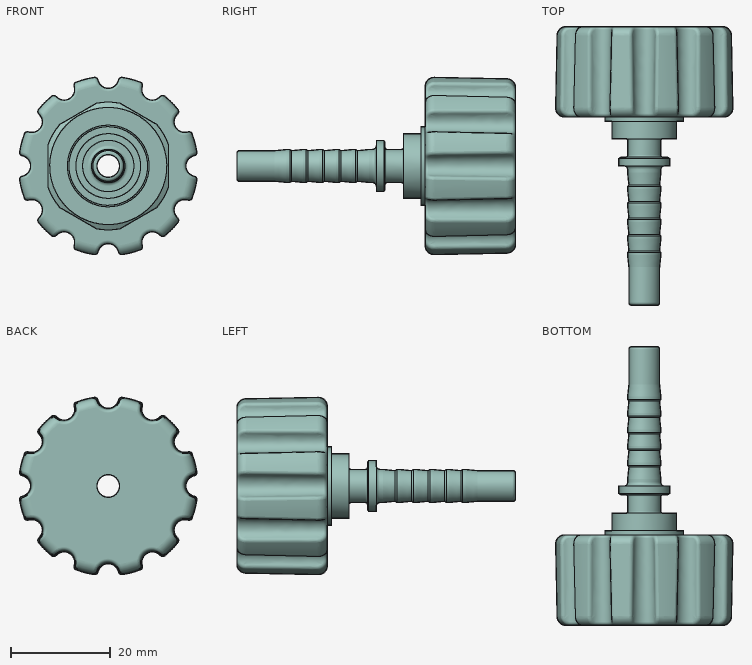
import cadquery as cq
import math


grip_radius = 18.05
grip_length = 18.2
grip_draft = 1.0
grip_rim_round = 1.9
flute_count = 12
flute_radius = 2.1
flute_bottom = 15.6
flute_edge_round = 0.7

hexagon_sides = 6
pocket_flats = 24.2
pocket_corner_diameter = 25.65
nut_recess = 0.4
nut_chamfer_diameter = 23.5
nut_chamfer_angle = 30
clearance_diameter = 16.4
clearance_depth = 0.9

flange_diameter = 15.8
flange_depth = 19.05
shoulder_diameter = 13.0
shoulder_depth = 22.55
neck_diameter = 6.7
neck_round = 0.3
collar_diameter = 10.3
collar_start = 26.2
collar_end = 28
collar_chamfer_depth = 0.3
collar_chamfer_width = 0.5
collar_head_round = 0.35
collar_tail_round = 0.7

barb_count = 6
barb_pitch = 3.3
barb_diameter = 6.7
barb_rise = 0.35
barb_land = 0.55
first_taper_start = 29.4
tip_diameter = 6.2
tip_depth = 56
tip_round = 0.6
bore_diameter = 4.5

nut_chamfer_width = (pocket_corner_diameter - nut_chamfer_diameter) / 2
nut_chamfer_drop = nut_chamfer_width * math.tan(math.radians(nut_chamfer_angle))
nut_face_depth = grip_length - nut_recess
clearance_floor_depth = nut_face_depth - clearance_depth

flute_middle = flute_bottom + flute_radius / 2


def axis_distance(face):
    """Distance of a face's centre from the Y axis."""
    center = face.Center()
    return math.hypot(center.x, center.z)


def cylinder(diameter, start, end):
    """Cylinder on the axis between two depths."""
    return cq.Workplane("XZ", origin=(0, -start, 0)).circle(diameter / 2).extrude(end - start)


def make_grip():
    """Slightly conical wheel with rounded rims and twelve round-edged flutes."""
    draft = math.tan(math.radians(grip_draft))
    rear_radius = grip_radius - draft * (grip_length - grip_rim_round)
    front_radius = grip_radius + draft * grip_rim_round
    wheel = (
        cq.Workplane("XY")
        .polyline([(0, 0), (rear_radius, 0), (front_radius, -grip_length), (0, -grip_length)])
        .close()
        .revolve(360, (0, 0), (0, 1))
        .edges("%CIRCLE")
        .fillet(grip_rim_round)
    )
    flute = (
        cq.Workplane("XZ", origin=(0, -grip_length, 0))
        .center(0, flute_bottom + flute_radius)
        .circle(flute_radius)
        .extrude(-grip_length, taper=-grip_draft)
    )
    for index in range(flute_count):
        wheel = wheel.cut(flute.rotate((0, 0, 0), (0, 1, 0), index * 360 / flute_count))
    flute_faces = wheel.faces("%CONE").filter(lambda face: axis_distance(face) < flute_middle)
    return flute_faces.edges().fillet(flute_edge_round)


def make_hexagon(flats, start, end):
    """Hexagonal prism with two flats facing +X and -X."""
    half_sector = 360 / hexagon_sides / 2
    corner_diameter = flats / math.cos(math.radians(half_sector))
    return (
        cq.Workplane("XZ", origin=(0, -start, 0))
        .transformed(rotate=(0, 0, half_sector))
        .polygon(hexagon_sides, corner_diameter)
        .extrude(end - start)
    )


def make_pocket():
    """Space above the nut: the hexagonal pocket with rounded corners, less the nut itself."""
    floor_depth = nut_face_depth - nut_chamfer_drop
    pocket = make_hexagon(pocket_flats, floor_depth, grip_length)
    pocket = pocket.intersect(cylinder(pocket_corner_diameter, floor_depth, grip_length))
    nut_crown = cq.Workplane(
        cq.Solid.makeCone(
            pocket_corner_diameter / 2,
            nut_chamfer_diameter / 2,
            nut_chamfer_drop,
            pnt=cq.Vector(0, -floor_depth, 0),
            dir=cq.Vector(0, -1, 0),
        )
    )
    return pocket.cut(nut_crown)


def make_stem():
    """Turned stem: flange, shoulder, necked collar, six barbs and a rounded plain tip."""
    flange_radius = flange_diameter / 2
    shoulder_radius = shoulder_diameter / 2
    neck_radius = neck_diameter / 2
    collar_radius = collar_diameter / 2
    barb_radius = barb_diameter / 2
    tip_radius = tip_diameter / 2

    profile = (
        cq.Workplane("XY")
        .moveTo(0, -clearance_floor_depth)
        .lineTo(flange_radius, -clearance_floor_depth)
        .lineTo(flange_radius, -flange_depth)
        .lineTo(shoulder_radius, -flange_depth)
        .lineTo(shoulder_radius, -shoulder_depth)
        .lineTo(neck_radius + neck_round, -shoulder_depth)
        .radiusArc((neck_radius, -shoulder_depth - neck_round), -neck_round)
        .lineTo(neck_radius, -collar_start + collar_head_round)
        .radiusArc((neck_radius + collar_head_round, -collar_start), -collar_head_round)
        .lineTo(collar_radius - collar_chamfer_width, -collar_start)
        .lineTo(collar_radius, -collar_start - collar_chamfer_depth)
        .lineTo(collar_radius, -collar_end)
        .lineTo(barb_radius + collar_tail_round, -collar_end)
        .radiusArc((barb_radius, -collar_end - collar_tail_round), -collar_tail_round)
    )
    for index in range(barb_count):
        taper_start = first_taper_start + index * barb_pitch
        taper_end = taper_start + barb_pitch - barb_land - barb_rise
        profile = profile.lineTo(barb_radius, -taper_start).lineTo(tip_radius, -taper_end)
        if index < barb_count - 1:
            profile = profile.lineTo(barb_radius, -taper_end - barb_rise)
    return (
        profile.lineTo(tip_radius, -tip_depth + tip_round)
        .radiusArc((tip_radius - tip_round, -tip_depth), tip_round)
        .lineTo(0, -tip_depth)
        .close()
        .revolve(360, (0, 0), (0, 1))
    )


clearance = cylinder(clearance_diameter, clearance_floor_depth, grip_length)
result = (
    make_grip()
    .cut(make_pocket())
    .cut(clearance)
    .union(make_stem())
    .cut(cylinder(bore_diameter, 0, tip_depth))
)